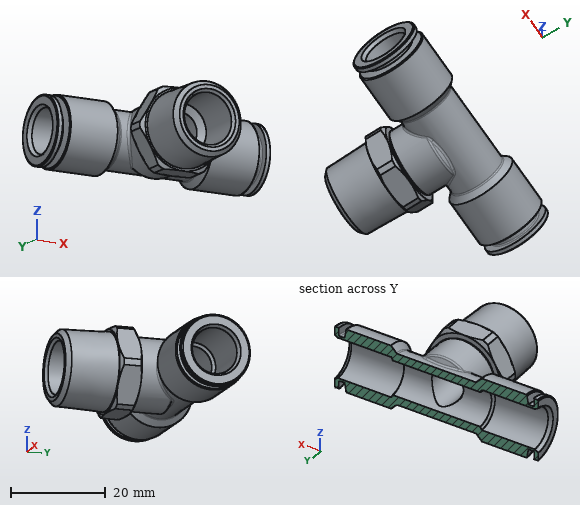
import cadquery as cq
import math

RUN_LENGTH = 51.6
RUN_END = RUN_LENGTH / 2
BODY_RADIUS = 6.5
SLEEVE_RADIUS = 8.0
SLEEVE_INNER_END = 11.5
SLEEVE_OUTER_END = 23.3
SHOULDER_FILLET = 0.5
LIP_RADIUS = 7.7
LIP_INNER_END = 22.75
LIP_OUTER_END = 22.95

COLLET_RADIUS = 7.7
COLLET_THICKNESS = 1.15
COLLET_CHAMFER_LENGTH = 0.2
COLLET_CHAMFER_DROP = 0.3
COLLET_NECK_RADIUS = 5.7
COLLET_NECK_FILLET = 0.25

TUBE_RADIUS = 5.0
TUBE_MOUTH_RADIUS = 5.55
TUBE_MOUTH_DEPTH = 0.9
TUBE_STOP = SLEEVE_INNER_END
RUN_PASSAGE_RADIUS = 4.28

BRANCH_LENGTH = 27.0
STUB_RADIUS = 7.9
STUB_TOP = 2.8
STUB_CROWN_ANGLE = 60.0
STUB_CROWN_ROUND = 0.55
STUB_JOINT_FILLET = 0.5
HEX_START = 10.5
HEX_THICKNESS = 5.0
HEX_END = HEX_START + HEX_THICKNESS
HEX_ACROSS_FLATS = 18.0
HEX_CORNER_RADIUS = 10.0
HEX_CHAMFER_ANGLE = 30.0
GROOVE_WIDTH = 0.2
GROOVE_RADIUS = 7.7
MALE_TIP_RADIUS = 8.2
MALE_TIP_CHAMFER = 1.0
MALE_TAPER = 1 / 16

BRANCH_BORE_RADIUS = 5.7
BRANCH_BORE_END = HEX_END
BRANCH_MOUTH_RADIUS = 6.33
BRANCH_PASSAGE_RADIUS = 4.0

BORE_STEP_ANGLE = 60.0


def bore_step_length(wide_radius, narrow_radius):
    """Axial length of the conical step between two bore radii."""
    return (wide_radius - narrow_radius) / math.tan(math.radians(BORE_STEP_ANGLE))


def turned_about_run(points):
    """Solid of revolution about the X axis from (x, radius) points."""
    return cq.Workplane("XY").polyline(points).close().revolve(360, (0, 0, 0), (1, 0, 0))


def turned_about_branch(points):
    """Solid of revolution about the Y axis from (radius, distance along -Y) points."""
    outline = [(radius, -distance) for radius, distance in points]
    return cq.Workplane("XY").polyline(outline).close().revolve(360, (0, 0, 0), (0, 1, 0))


def with_mirror(half):
    """The +X shape together with its mirror image about X = 0."""
    return half.union(half.mirror("YZ"))


def body_with_stub():
    """Run body joined to the cone-topped branch stub, filleted where they meet."""
    body = cq.Workplane("YZ").circle(BODY_RADIUS).extrude(SLEEVE_INNER_END, both=True)
    crown_angle = math.radians(STUB_CROWN_ANGLE)
    round_top = STUB_TOP - STUB_CROWN_ROUND * math.sin(crown_angle)
    round_top_radius = STUB_RADIUS - STUB_CROWN_ROUND * (1 - math.cos(crown_angle))
    crown_radius = round_top_radius - round_top * math.tan(crown_angle)
    stub_end = HEX_START - GROOVE_WIDTH
    stub = (
        cq.Workplane("XY")
        .lineTo(crown_radius, 0)
        .lineTo(round_top_radius, -round_top)
        .radiusArc((STUB_RADIUS, -STUB_TOP), STUB_CROWN_ROUND)
        .lineTo(STUB_RADIUS, -stub_end)
        .lineTo(0, -stub_end)
        .close()
        .revolve(360, (0, 0, 0), (0, 1, 0))
    )
    return body.union(stub).edges("%BSPLINE").fillet(STUB_JOINT_FILLET)


def sleeve():
    """Sleeve at +X with a 45 degree shoulder and a shallow conical outer face."""
    shoulder_start = SLEEVE_INNER_END - (SLEEVE_RADIUS - BODY_RADIUS)
    slope_angle = math.radians(45)
    tangent_length = SHOULDER_FILLET * math.tan(slope_angle / 2)
    foot = (shoulder_start - tangent_length, BODY_RADIUS)
    slope_start = (
        shoulder_start + tangent_length * math.cos(slope_angle),
        BODY_RADIUS + tangent_length * math.sin(slope_angle),
    )
    profile = (
        cq.Workplane("XY")
        .moveTo(foot[0], 0)
        .lineTo(*foot)
        .radiusArc(slope_start, -SHOULDER_FILLET)
        .lineTo(SLEEVE_INNER_END, SLEEVE_RADIUS)
        .lineTo(LIP_INNER_END, SLEEVE_RADIUS)
        .lineTo(LIP_OUTER_END, LIP_RADIUS)
        .lineTo(SLEEVE_OUTER_END, COLLET_NECK_RADIUS)
        .lineTo(SLEEVE_OUTER_END, 0)
        .close()
    )
    return profile.revolve(360, (0, 0, 0), (1, 0, 0))


def collet():
    """Collet flange at +X with the filleted neck that enters the sleeve."""
    flange_start = RUN_END - COLLET_THICKNESS
    profile = (
        cq.Workplane("XY")
        .moveTo(SLEEVE_INNER_END, 0)
        .lineTo(SLEEVE_INNER_END, COLLET_NECK_RADIUS)
        .lineTo(flange_start - COLLET_NECK_FILLET, COLLET_NECK_RADIUS)
        .radiusArc((flange_start, COLLET_NECK_RADIUS + COLLET_NECK_FILLET), -COLLET_NECK_FILLET)
        .lineTo(flange_start, COLLET_RADIUS)
        .lineTo(RUN_END - COLLET_CHAMFER_LENGTH, COLLET_RADIUS)
        .lineTo(RUN_END, COLLET_RADIUS - COLLET_CHAMFER_DROP)
        .lineTo(RUN_END, 0)
        .close()
    )
    return profile.revolve(360, (0, 0, 0), (1, 0, 0))


def hexagon():
    """Wrench hexagon with flats at +Z and -Z, turned-down corners and chamfered rims."""
    flat_radius = HEX_ACROSS_FLATS / 2
    sides = 6
    corner_diameter = HEX_ACROSS_FLATS / math.cos(math.pi / sides)
    hex_plane = cq.Workplane("XZ", origin=(0, -HEX_START, 0))
    prism = hex_plane.polygon(sides, corner_diameter).extrude(HEX_THICKNESS)
    chamfer_length = (HEX_CORNER_RADIUS - flat_radius) * math.tan(math.radians(HEX_CHAMFER_ANGLE))
    envelope = turned_about_branch([
        (0, HEX_START),
        (flat_radius, HEX_START),
        (HEX_CORNER_RADIUS, HEX_START + chamfer_length),
        (HEX_CORNER_RADIUS, HEX_END - chamfer_length),
        (flat_radius, HEX_END),
        (0, HEX_END),
    ])
    return prism.intersect(envelope)


def male_end():
    """Core of the groove and hexagon, continued by the tapered male end."""
    chamfer_start = BRANCH_LENGTH - MALE_TIP_CHAMFER
    base_radius = MALE_TIP_RADIUS + (chamfer_start - HEX_END) * MALE_TAPER / 2
    return turned_about_branch([
        (0, HEX_START - GROOVE_WIDTH),
        (GROOVE_RADIUS, HEX_START - GROOVE_WIDTH),
        (GROOVE_RADIUS, HEX_END),
        (base_radius, HEX_END),
        (MALE_TIP_RADIUS, chamfer_start),
        (MALE_TIP_RADIUS - MALE_TIP_CHAMFER, BRANCH_LENGTH),
        (0, BRANCH_LENGTH),
    ])


def run_bore():
    """Half of the run bore: passage, conical tube stop, tube socket and flared mouth."""
    stop_cone_length = bore_step_length(TUBE_RADIUS, RUN_PASSAGE_RADIUS)
    return turned_about_run([
        (0, 0),
        (0, RUN_PASSAGE_RADIUS),
        (TUBE_STOP - stop_cone_length, RUN_PASSAGE_RADIUS),
        (TUBE_STOP, TUBE_RADIUS),
        (RUN_END - TUBE_MOUTH_DEPTH, TUBE_RADIUS),
        (RUN_END, TUBE_MOUTH_RADIUS),
        (RUN_END, 0),
    ])


def branch_bore():
    """Branch bore: passage into the run, conical step, wide bore and chamfered mouth."""
    cone_length = bore_step_length(BRANCH_BORE_RADIUS, BRANCH_PASSAGE_RADIUS)
    mouth_depth = BRANCH_MOUTH_RADIUS - BRANCH_BORE_RADIUS
    return turned_about_branch([
        (0, 0),
        (BRANCH_PASSAGE_RADIUS, 0),
        (BRANCH_PASSAGE_RADIUS, BRANCH_BORE_END - cone_length),
        (BRANCH_BORE_RADIUS, BRANCH_BORE_END),
        (BRANCH_BORE_RADIUS, BRANCH_LENGTH - mouth_depth),
        (BRANCH_MOUTH_RADIUS, BRANCH_LENGTH),
        (0, BRANCH_LENGTH),
    ])


fitting = body_with_stub().union(with_mirror(sleeve())).union(with_mirror(collet()))
fitting = fitting.union(hexagon()).union(male_end())
result = fitting.cut(with_mirror(run_bore())).cut(branch_bore())